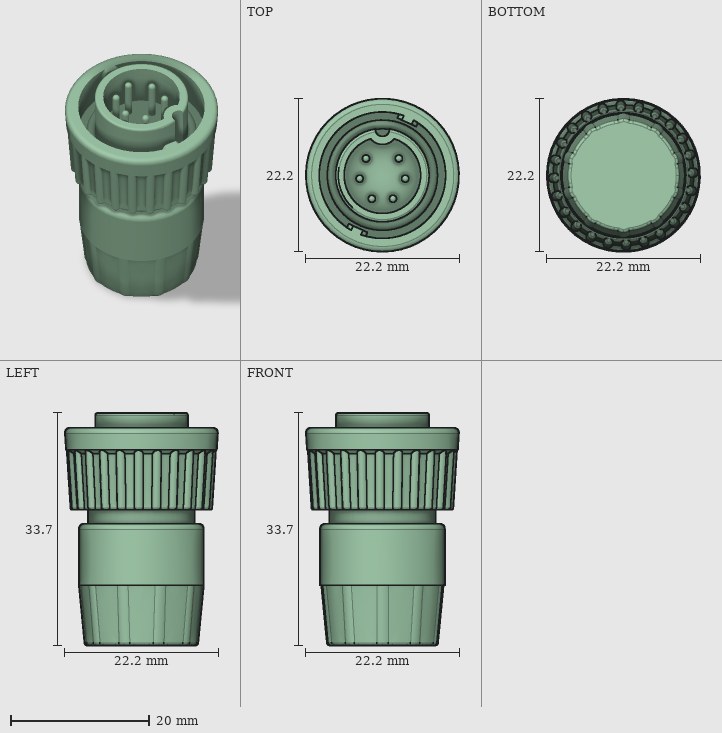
import cadquery as cq
import math

TOTAL_HEIGHT = 33.72
GRIP_TOP = 8.77
BODY_TOP = 17.68
RING_BOTTOM = 19.65
RING_TOP = 31.6

BODY_RADIUS = 9.07
BODY_EDGE_ROUND = 0.8
NECK_RADIUS = 7.75
GRIP_TOP_RADIUS = 8.88
GRIP_BOTTOM_RADIUS = 8.03
GRIP_EDGE_ROUND = 0.45
RIDGE_COUNT = 10
RIDGE_RADIUS = 1.6
RIDGE_HEIGHT = 0.18

RING_RADIUS = 11.11
RING_EDGE_ROUND = 0.8
RING_BORE_RADIUS = 9.17
RING_TAPER = 3.7
BAND_BOTTOM = 28.4
KNURL_TOP = 27.8
KNURL_FLOOR_RADIUS = 10.2
KNURL_EDGE_ROUND = 0.35
RIB_COUNT = 24
RIB_RADIUS = 0.66
RIB_HEIGHT = 0.6
CAVITY_FLOOR = 26.3

LUG_ANGLE = 65.3
LUG_COUNT = 2
LUG_RADIUS = 1.5
LUG_DROP = 1.28
LUG_TIP_RADIUS = 8.44

SEAL_INNER_RADIUS = 6.7
SEAL_OUTER_RADIUS = 8.0

PLUG_RADIUS = 6.77
PLUG_EDGE_ROUND = 0.37
PLUG_BORE_RADIUS = 5.55
PLUG_BORE_FLOOR = 27.1
KEY_OFFSET = 6.65
KEY_SLOT_RADIUS = 1.03
KEY_WALL_RADIUS = 2.2
PIN_RADIUS = 0.52
PIN_TIP = 33.12
PIN_PAIRS = [(2.38, 2.42), (3.31, -0.5), (1.53, -3.42)]

JOIN_OVERLAP = 1
RIB_OVERRUN = 0.2
ROUND_MID = math.sqrt(0.5)


def cylinder(radius, bottom, top):
    return cq.Workplane("XY").workplane(offset=bottom).circle(radius).extrude(top - bottom)


def revolve_about_z(profile):
    return profile.close().revolve(360, (0, 0, 0), (0, 1, 0))


def tapered_radius(radius, height, reference_height):
    """Radius at a height on a cone that widens upward at the ring taper."""
    return radius + (height - reference_height) * math.tan(math.radians(RING_TAPER))


def leaning_rod(radius, foot_radius, foot_height, lean, length):
    """Rod in the XZ plane that leans outward as it rises."""
    foot = cq.Vector(foot_radius, 0, foot_height)
    direction = cq.Vector(math.sin(lean), 0, math.cos(lean))
    return cq.Workplane(cq.Solid.makeCylinder(radius, length, foot, direction))


def turn(shape, angle):
    return shape.rotate((0, 0, 0), (0, 0, 1), angle)


def add_around(base, shape, count):
    """Join copies of a shape spaced evenly about Z, starting half a pitch from +X."""
    pitch = 360 / count
    copies = [turn(shape, pitch * (i + 0.5)).val() for i in range(count)]
    return cq.Workplane(base.val().fuse(*copies))


def make_grip():
    """Cone carrying low rounded ridges, rounded together at the bottom edge."""
    cone = (
        cq.Workplane("XY").circle(GRIP_BOTTOM_RADIUS)
        .workplane(offset=GRIP_TOP).circle(GRIP_TOP_RADIUS).loft(ruled=True)
    )
    axis_inset = RIDGE_RADIUS - RIDGE_HEIGHT
    lean = math.atan((GRIP_TOP_RADIUS - GRIP_BOTTOM_RADIUS) / GRIP_TOP)
    ridge = leaning_rod(
        RIDGE_RADIUS,
        GRIP_BOTTOM_RADIUS - axis_inset - JOIN_OVERLAP * math.tan(lean),
        -JOIN_OVERLAP,
        lean,
        GRIP_TOP + 3 * JOIN_OVERLAP,
    ).intersect(cylinder(BODY_RADIUS, 0, GRIP_TOP))
    grip = add_around(cone, ridge, RIDGE_COUNT)
    return grip.faces("<Z").edges().fillet(GRIP_EDGE_ROUND)


def make_body():
    """Straight barrel with a rounded shoulder and the neck above it."""
    body = cylinder(BODY_RADIUS, GRIP_TOP, BODY_TOP).faces(">Z").edges().fillet(BODY_EDGE_ROUND)
    return body.union(cylinder(NECK_RADIUS, BODY_TOP - JOIN_OVERLAP, RING_BOTTOM + JOIN_OVERLAP))


def make_ring_core():
    """Ring turned from the knurl floor, the upper band and the rounded rim."""
    rim_start = RING_TOP - RING_EDGE_ROUND
    rim_round_lift = RING_EDGE_ROUND * (1 - ROUND_MID)
    core = revolve_about_z(
        cq.Workplane("XZ")
        .moveTo(0, RING_BOTTOM)
        .lineTo(tapered_radius(KNURL_FLOOR_RADIUS, RING_BOTTOM, KNURL_TOP), RING_BOTTOM)
        .lineTo(KNURL_FLOOR_RADIUS, KNURL_TOP)
        .lineTo(tapered_radius(RING_RADIUS, BAND_BOTTOM, rim_start), BAND_BOTTOM)
        .lineTo(RING_RADIUS, rim_start)
        .threePointArc(
            (RING_RADIUS - rim_round_lift, RING_TOP - rim_round_lift),
            (RING_RADIUS - RING_EDGE_ROUND, RING_TOP),
        )
        .lineTo(0, RING_TOP)
    )
    return core.faces("<Z").edges().fillet(KNURL_EDGE_ROUND)


def make_rib():
    """Round knurl rib lying on the tapered floor and ending inside the band."""
    axis_radius = KNURL_FLOOR_RADIUS + RIB_HEIGHT - RIB_RADIUS
    foot_height = RING_BOTTOM - RIB_OVERRUN
    foot_radius = tapered_radius(axis_radius, foot_height, KNURL_TOP)
    lean = math.radians(RING_TAPER)
    rib = leaning_rod(RIB_RADIUS, foot_radius, foot_height, lean, BAND_BOTTOM - foot_height)
    rib = rib.intersect(cylinder(RING_RADIUS, RING_BOTTOM, BAND_BOTTOM))
    return rib.faces("<Z").edges().fillet(KNURL_EDGE_ROUND)


def make_lug(angle):
    """Radial round lug on the ring bore, cut flat at the rim."""
    axis_height = RING_TOP - LUG_DROP
    lug = (
        cq.Workplane("YZ").workplane(offset=LUG_TIP_RADIUS).center(0, axis_height)
        .circle(LUG_RADIUS).extrude(RING_BORE_RADIUS + JOIN_OVERLAP - LUG_TIP_RADIUS)
    )
    lug = lug.intersect(cylinder(RING_RADIUS, CAVITY_FLOOR, RING_TOP))
    return turn(lug, angle)


def make_ring():
    """Knurled ring with an open top cavity and opposed lugs, turned to its place."""
    ring = add_around(make_ring_core(), make_rib(), RIB_COUNT)
    ring = ring.cut(cylinder(RING_BORE_RADIUS, CAVITY_FLOOR, RING_TOP))
    for i in range(LUG_COUNT):
        ring = ring.union(make_lug(i * 360 / LUG_COUNT))
    return turn(ring, LUG_ANGLE)


def make_seal():
    """Seal ring half sunk into the cavity floor."""
    mean_radius = (SEAL_INNER_RADIUS + SEAL_OUTER_RADIUS) / 2
    tube_radius = (SEAL_OUTER_RADIUS - SEAL_INNER_RADIUS) / 2
    return (
        cq.Workplane("XZ").center(mean_radius, CAVITY_FLOOR).circle(tube_radius)
        .revolve(360, (-mean_radius, 0, 0), (-mean_radius, 1, 0))
    )


def make_plug():
    """Hollow shell whose wall bulges inward around the key slot."""
    shell = cylinder(PLUG_RADIUS, CAVITY_FLOOR - JOIN_OVERLAP, TOTAL_HEIGHT)
    shell = shell.faces(">Z").edges().fillet(PLUG_EDGE_ROUND)

    def key_post(radius, bottom):
        return cylinder(radius, bottom, TOTAL_HEIGHT).translate((0, KEY_OFFSET, 0))

    bore = cylinder(PLUG_BORE_RADIUS, PLUG_BORE_FLOOR, TOTAL_HEIGHT)
    bore = bore.cut(key_post(KEY_WALL_RADIUS, PLUG_BORE_FLOOR))
    return shell.cut(bore).cut(key_post(KEY_SLOT_RADIUS, CAVITY_FLOOR))


def make_pin(x, y):
    """Contact pin with a domed tip, rooted in the plug floor."""
    pin = cylinder(PIN_RADIUS, PLUG_BORE_FLOOR - JOIN_OVERLAP, PIN_TIP - PIN_RADIUS)
    tip = cq.Workplane("XY").sphere(PIN_RADIUS).translate((0, 0, PIN_TIP - PIN_RADIUS))
    return pin.union(tip).translate((x, y, 0))


pins = [make_pin(side * x, y) for x, y in PIN_PAIRS for side in (-1, 1)]
parts = [make_body(), make_ring(), make_seal(), make_plug()] + pins
joined = make_grip().val().fuse(*[part.val() for part in parts])
result = cq.Workplane(joined.Solids()[0])